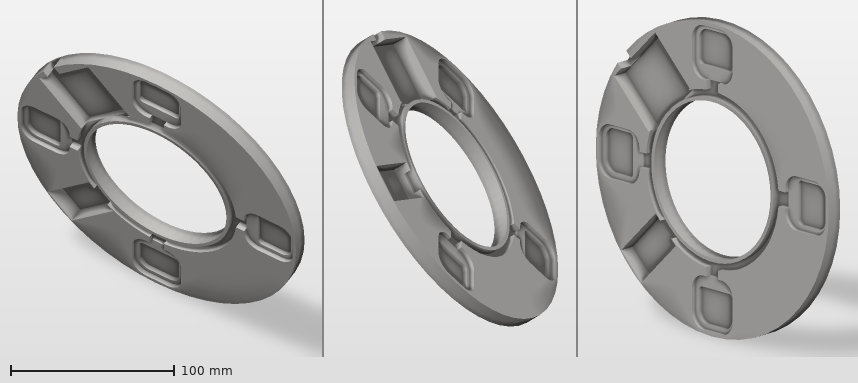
import cadquery as cq

outer_radius = 100.0
bore_radius = 50.0
thickness = 15.0
rim_thickness = 10.0
bevel_run = 15.0

lip_radius = 52.5
groove_radius = 57.0
groove_depth = 5.0

pocket_count = 4
pocket_center_radius = 80.0
pocket_side = 34.8
pocket_corner_radius = 10.0
pocket_depth = 3.0
recess_width = 28.5
recess_inner_radius = 71.0
recess_outer_radius = 94.5
recess_outer_corner_radius = 7.0
recess_inner_corner_radius = 2.8
recess_depth = 6.0
channel_width = 10.2

bay_depth = 10.0

board_angle = 135.0
board_inner_radius = 52.2
board_outer_radius = 94.2
board_width = 49.5
notch_width = 12.0
notch_offset = 10.5
notch_depth = 9.0

humidity_angle = 225.0
humidity_inner_radius = 56.5
humidity_outer_radius = 98.5
humidity_width = 24.5


def ring_body():
    """Flat ring with matching conical bevels at the back, outside and around the bore."""
    profile = [
        (bore_radius, 0),
        (outer_radius, 0),
        (outer_radius, rim_thickness),
        (outer_radius - bevel_run, thickness),
        (bore_radius + bevel_run, thickness),
        (bore_radius, rim_thickness),
    ]
    return cq.Workplane("XY").polyline(profile).close().revolve(360, (0, 0), (0, 1))


def groove():
    """Ring-shaped cut in the front face."""
    face = cq.Workplane("XZ").circle(groove_radius).circle(lip_radius)
    return face.extrude(-groove_depth)


def radial_box(inner, outer, width, depth, offset=0.0):
    """Box cut into the front face, lying along +X and shifted by offset along Z."""
    center = (inner + outer) / 2
    face = cq.Workplane("XZ").center(center, offset).rect(outer - inner, width)
    return face.extrude(-depth)


def turned(cutter, angle):
    """Swing a cutter from +X about the ring axis, toward +Z."""
    return cutter.rotate((0, 0, 0), (0, 1, 0), -angle)


def sensor_pocket():
    """Rounded pocket with a deeper recess and a channel to the groove, on +X."""
    half_side = pocket_side / 2
    inner = pocket_center_radius - half_side
    outer = pocket_center_radius + half_side
    pocket = radial_box(inner, outer, pocket_side, pocket_depth)
    pocket = pocket.edges("|Y").fillet(pocket_corner_radius)

    recess = radial_box(recess_inner_radius, recess_outer_radius, recess_width, recess_depth)
    recess = recess.edges("|Y and >X").fillet(recess_outer_corner_radius)
    recess = recess.edges("|Y and <X").fillet(recess_inner_corner_radius)

    channel_start = (lip_radius + groove_radius) / 2
    channel = radial_box(channel_start, inner, channel_width, groove_depth)
    return pocket.union(recess).union(channel)


def board_bay():
    """Circuit board bay with its shallower notch through the rim, on +X."""
    bay = radial_box(board_inner_radius, board_outer_radius, board_width, bay_depth)
    notch = radial_box(board_outer_radius, outer_radius, notch_width, notch_depth, notch_offset)
    return bay.union(notch)


def humidity_bay():
    """Humidity sensor bay, closed off by the thin rim, on +X."""
    return radial_box(humidity_inner_radius, humidity_outer_radius, humidity_width, bay_depth)


result = ring_body().cut(groove())

for index in range(pocket_count):
    result = result.cut(turned(sensor_pocket(), index * 360 / pocket_count))

result = result.cut(turned(board_bay(), board_angle))
result = result.cut(turned(humidity_bay(), humidity_angle))